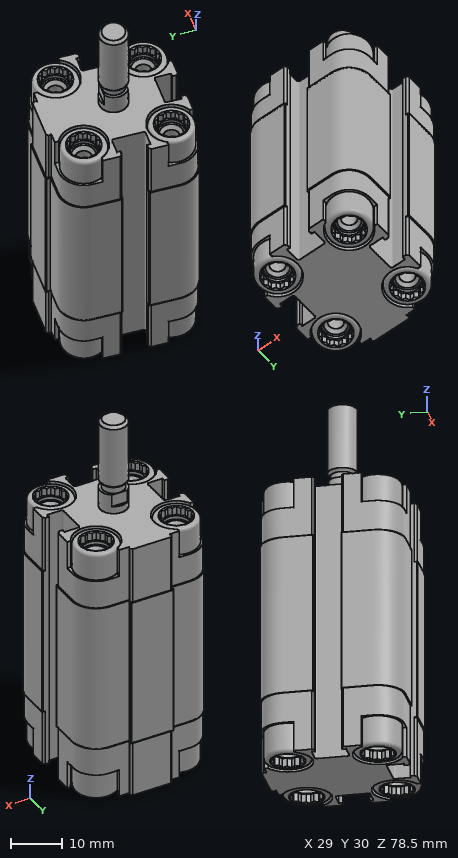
import cadquery as cq
import math

TOTAL_HEIGHT = 78.5
HOUSING_HEIGHT = 58.1
CAP_HEIGHT = 12.5

BARREL_WIDTH = 29.0
CAP_INSET = 0.2
CAP_WIDTH = BARREL_WIDTH - 2 * CAP_INSET
SCREW_OFFSET = 9.0
BARREL_CHAMFER = 0.2
CAP_CHAMFER = 0.5

SLOT_FLOOR = 9.5
SLOT_LIP = 12.95
SLOT_MOUTH_WIDTH = 5.4
SLOT_INNER_WIDTH = 6.9
SLOT_FLOOR_RADIUS = 0.4
SLOT_ANGLES = (-90, 0, 180)

OVERALL_DEPTH = 30.0
BARREL_RAIL_TOP = OVERALL_DEPTH - BARREL_WIDTH / 2
CAP_RAIL_TOP = BARREL_RAIL_TOP - CAP_INSET
RAIL_ROOT = 13.35
RAIL_ROOT_WIDTH = 8.5
RAIL_FLARE = 0.35

POST_DIAMETER = 9.5
POST_RECESS = 0.15
POST_CLEARANCE_DIAMETER = 10.0
CORNER_CUT_DEPTH = 6.2
POST_EDGE_RADIUS = 0.7
CORNER_CUT_EDGE = 6.75
POST_TOP = HOUSING_HEIGHT - POST_RECESS
POST_BASE = HOUSING_HEIGHT - CORNER_CUT_DEPTH

SOCKET_POINTS = 12
SOCKET_OUTER_DIAMETER = 6.9
SOCKET_INNER_DIAMETER = 6.1
SOCKET_LEAD_IN_DIAMETER = 7.1
SOCKET_LEAD_IN_DEPTH = 0.2
SOCKET_DEPTH = 2.0
COUNTERBORE_DIAMETER = 5.7
COUNTERBORE_DEPTH = 0.8
SINK_DIAMETER = 4.8
SINK_DEPTH = 0.8
SCREW_HOLE_DIAMETER = 3.2

ROD_DIAMETER = 6.0
ROD_NECK_DIAMETER = 4.8
ROD_SHOULDER = HOUSING_HEIGHT + 4.4
THREAD_START = 64.45
ROD_TIP_CHAMFER = 0.6
FLAT_BOTTOM = HOUSING_HEIGHT + 1.65
FLAT_SPACING = 4.9
ROD_BASE = HOUSING_HEIGHT - CAP_HEIGHT


def profile_block(width, rail_top, chamfer, bottom, height):
    """Rounded square with a rail on +Y and slots in the other sides, all with chamfered edges."""
    side = width / 2
    block = (
        cq.Workplane("XY", origin=(0, 0, bottom))
        .rect(width, width)
        .extrude(height)
        .edges("|Z")
        .fillet(side - SCREW_OFFSET)
        .union(rail(rail_top, chamfer, bottom, height))
    )
    for angle in SLOT_ANGLES:
        block = block.cut(slot(side, chamfer, bottom, height).rotate((0, 0, 0), (0, 0, 1), angle))
    return block


def rail(top, chamfer, bottom, height):
    """Dovetail rail that widens outwards up to its chamfered outer edges."""
    root = RAIL_ROOT_WIDTH / 2
    shoulder = top - chamfer
    widest = root + RAIL_FLARE * (shoulder - RAIL_ROOT)
    outline = [
        (-root, RAIL_ROOT),
        (root, RAIL_ROOT),
        (widest, shoulder),
        (widest - chamfer, top),
        (chamfer - widest, top),
        (-widest, shoulder),
    ]
    return cq.Workplane("XY", origin=(0, 0, bottom)).polyline(outline).close().extrude(height)


def slot(side, chamfer, bottom, height):
    """Undercut slot open towards +X, with its mouth chamfered at the given side."""
    mouth = SLOT_MOUTH_WIDTH / 2
    outline = [
        (SLOT_FLOOR, -mouth),
        (side - chamfer, -mouth),
        (side, -mouth - chamfer),
        (side, mouth + chamfer),
        (side - chamfer, mouth),
        (SLOT_FLOOR, mouth),
    ]
    throat = cq.Workplane("XY", origin=(0, 0, bottom)).polyline(outline).close().extrude(height)
    undercut = (
        cq.Workplane("XY", origin=((SLOT_FLOOR + SLOT_LIP) / 2, 0, bottom))
        .rect(SLOT_LIP - SLOT_FLOOR, SLOT_INNER_WIDTH)
        .extrude(height)
        .edges("|Z and <X")
        .fillet(SLOT_FLOOR_RADIUS)
    )
    return throat.union(undercut)


def at_corners(shape):
    """Copies of a shape at the four screw axes."""
    return [
        shape.translate((x, y, 0))
        for x in (-SCREW_OFFSET, SCREW_OFFSET)
        for y in (-SCREW_OFFSET, SCREW_OFFSET)
    ]


def corner_clearance():
    """Space cleared at the top of the four corners, around and under the posts."""
    size = BARREL_WIDTH / 2 - CORNER_CUT_EDGE
    middle = CORNER_CUT_EDGE + size / 2
    clearance = (
        cq.Workplane("XY", origin=(0, 0, POST_BASE))
        .rect(2 * middle, 2 * middle, forConstruction=True)
        .vertices()
        .rect(size, size)
        .extrude(CORNER_CUT_DEPTH)
    )
    bore = (
        cq.Workplane("XY", origin=(0, 0, POST_BASE))
        .circle(POST_CLEARANCE_DIAMETER / 2)
        .extrude(CORNER_CUT_DEPTH)
    )
    for corner_bore in at_corners(bore):
        clearance = clearance.union(corner_bore)
    return clearance


def post():
    """Round post with a rounded top edge, on the Z axis."""
    return (
        cq.Workplane("XY", origin=(0, 0, POST_BASE))
        .circle(POST_DIAMETER / 2)
        .extrude(POST_TOP - POST_BASE)
        .faces(">Z")
        .edges()
        .fillet(POST_EDGE_RADIUS)
    )


def cone_below(top, depth, top_diameter, bottom_diameter):
    """Cone on the Z axis that narrows downwards from the given height."""
    return cq.Workplane(
        cq.Solid.makeCone(bottom_diameter / 2, top_diameter / 2, depth, cq.Vector(0, 0, top - depth))
    )


def screw_socket():
    """Twelve-point recess with a lead-in, a counterbore and a conical seat, on the Z axis."""
    points = []
    for i in range(2 * SOCKET_POINTS):
        radius = (SOCKET_OUTER_DIAMETER if i % 2 == 0 else SOCKET_INNER_DIAMETER) / 2
        angle = i * math.pi / SOCKET_POINTS
        points.append((radius * math.cos(angle), radius * math.sin(angle)))
    floor = POST_TOP - SOCKET_DEPTH
    seat = floor - COUNTERBORE_DEPTH
    star = cq.Workplane("XY", origin=(0, 0, floor)).polyline(points).close().extrude(SOCKET_DEPTH)
    lead_in = cone_below(POST_TOP, SOCKET_LEAD_IN_DEPTH, SOCKET_LEAD_IN_DIAMETER, SOCKET_INNER_DIAMETER)
    counterbore = (
        cq.Workplane("XY", origin=(0, 0, seat)).circle(COUNTERBORE_DIAMETER / 2).extrude(COUNTERBORE_DEPTH)
    )
    sink = cone_below(seat, SINK_DEPTH, SINK_DIAMETER, SCREW_HOLE_DIAMETER)
    return star.union(lead_in).union(counterbore).union(sink)


def make_housing():
    barrel_height = HOUSING_HEIGHT - 2 * CAP_HEIGHT
    barrel = profile_block(BARREL_WIDTH, BARREL_RAIL_TOP, BARREL_CHAMFER, CAP_HEIGHT, barrel_height)

    cap_base = HOUSING_HEIGHT - CAP_HEIGHT
    top_cap = profile_block(CAP_WIDTH, CAP_RAIL_TOP, CAP_CHAMFER, cap_base, CAP_HEIGHT)
    top_cap = top_cap.cut(corner_clearance())
    for corner_post in at_corners(post()):
        top_cap = top_cap.union(corner_post)
    for socket in at_corners(screw_socket()):
        top_cap = top_cap.cut(socket)

    bottom_cap = top_cap.mirror("XY", (0, 0, HOUSING_HEIGHT / 2))
    body = barrel.union(top_cap).union(bottom_cap)
    hole = cq.Workplane("XY").circle(SCREW_HOLE_DIAMETER / 2).extrude(HOUSING_HEIGHT)
    for screw_hole in at_corners(hole):
        body = body.cut(screw_hole)
    rod_bore = cq.Workplane("XY", origin=(0, 0, ROD_BASE)).circle(ROD_DIAMETER / 2).extrude(CAP_HEIGHT)
    return body.cut(rod_bore)


def make_rod():
    radius = ROD_DIAMETER / 2
    neck = ROD_NECK_DIAMETER / 2
    rod = (
        cq.Workplane("XZ")
        .moveTo(0, ROD_BASE)
        .lineTo(radius, ROD_BASE)
        .lineTo(radius, ROD_SHOULDER)
        .lineTo(neck, ROD_SHOULDER)
        .lineTo(neck, THREAD_START - (radius - neck))
        .lineTo(radius, THREAD_START)
        .lineTo(radius, TOTAL_HEIGHT - ROD_TIP_CHAMFER)
        .lineTo(radius - ROD_TIP_CHAMFER, TOTAL_HEIGHT)
        .lineTo(0, TOTAL_HEIGHT)
        .close()
        .revolve(360, (0, 0, 0), (0, 1, 0))
    )
    for side in (-1, 1):
        flat = (
            cq.Workplane("XY", origin=(0, side * (FLAT_SPACING + ROD_DIAMETER) / 2, FLAT_BOTTOM))
            .rect(ROD_DIAMETER, ROD_DIAMETER)
            .extrude(ROD_SHOULDER - FLAT_BOTTOM)
        )
        rod = rod.cut(flat)
    return rod


housing = make_housing()
rod = make_rod()
result = cq.Compound.makeCompound([*housing.solids().vals(), *rod.solids().vals()])